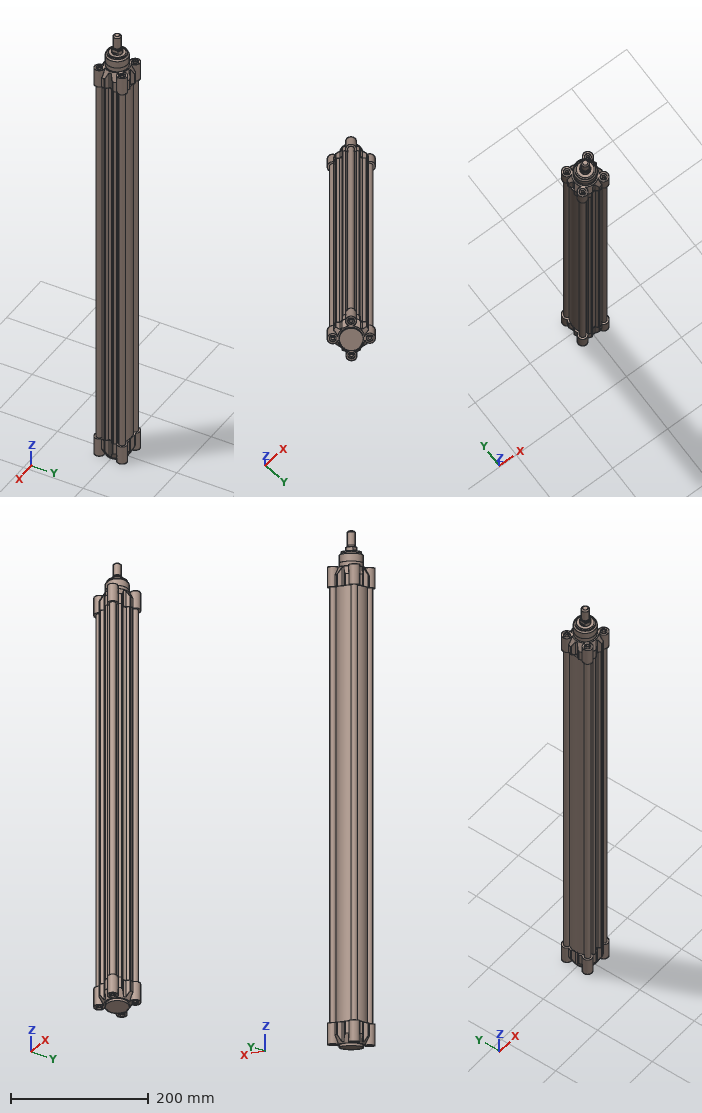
import cadquery as cq
import math

LENGTH = 763.0
TOP = LENGTH / 2
BOTTOM = -LENGTH / 2

CAP_WIDTH = 54.0
BOLT_OFFSET = 19.0
CAP_LOBE_RADIUS = CAP_WIDTH / 2 - BOLT_OFFSET
CAP_BARREL_RADIUS = 27.0
CAP_CONE_END_RADIUS = 20.0
CAP_CONE_HEIGHT = 13.0
FRONT_CAP_HEIGHT = 30.0
FRONT_CAP_BASE = 297.5
FRONT_CAP_FACE = FRONT_CAP_BASE + FRONT_CAP_HEIGHT
REAR_NOSE_HEIGHT = 4.0
REAR_CAP_FACE = BOTTOM + REAR_NOSE_HEIGHT
REAR_CAP_HEIGHT = 31.0
REAR_CAP_TOP = REAR_CAP_FACE + REAR_CAP_HEIGHT
NOSE_DIAMETER = 35.0
FRONT_BOSS_HEIGHT = 7.0

WEB_WIDTH = 4.5

BOLT_HEAD_DIAMETER = 10.0
BOLT_HEAD_DEPTH = 2.0
BOLT_HOLE_DIAMETER = 5.3
BOLT_HOLE_DEPTH = 11.5

LIP_HALF_WIDTH = 8.0
GROOVE_HALF_MOUTH = 6.0
CAP_LIP_RADIUS = 25.0
CAP_GROOVE_HALF_FLOOR = 1.9

TUBE_LOBE_RADIUS = 4.95
TUBE_SMOOTH_RADIUS = 24.0
TUBE_RAIL_RADIUS = 27.0
TUBE_RAIL_WIDTH = 24.5
TUBE_BORE_DIAMETER = 40.0
TUBE_LIP_RADIUS = 24.5
TUBE_GROOVE_HALF_FLOOR = 2.7

GLAND_BASE = FRONT_CAP_FACE + FRONT_BOSS_HEIGHT
GLAND_TOP = 350.0
GLAND_CHAMFER = 2.0
GLAND_LAND_HEIGHT = 2.0
WIPER_DIAMETER = 26.0
WIPER_HEIGHT = 4.5

ROD_DIAMETER = 16.0
ROD_TOP = 358.0
ROD_BOTTOM = -336.0
ROD_CHAMFER = 1.0
THREAD_DIAMETER = 12.0
THREAD_CHAMFER = 2.0
NECK_DIAMETER = 11.5
NECK_HEIGHT = 2.0
FLAT_WIDTH = 13.0
FLAT_HEIGHT = 5.0

BOLT_POINTS = [(sx * BOLT_OFFSET, sy * BOLT_OFFSET) for sx in (-1, 1) for sy in (-1, 1)]


def cylinder(diameter, base, height):
    return cq.Workplane("XY").workplane(offset=base).circle(diameter / 2).extrude(height)


def corner_lobes(radius, base, height):
    """Four round columns on the bolt axes, each joined to the centre by a web."""
    columns = cq.Workplane("XY").workplane(offset=base).pushPoints(BOLT_POINTS).circle(radius).extrude(height)
    web_length = 2 * math.hypot(BOLT_OFFSET, BOLT_OFFSET)
    web = cq.Workplane("XY").workplane(offset=base).rect(web_length, WEB_WIDTH).extrude(height)
    for angle in (45, 135):
        columns = columns.union(turned(web, angle))
    return columns


def side_groove(lip_radius, half_floor, base, height):
    """Cutter for one groove along the -Y side."""
    floor_y = -lip_radius + (GROOVE_HALF_MOUTH - half_floor)
    outside_y = -CAP_WIDTH
    return (
        cq.Workplane("XY")
        .workplane(offset=base)
        .polyline([
            (-LIP_HALF_WIDTH, outside_y),
            (-LIP_HALF_WIDTH, -lip_radius),
            (-GROOVE_HALF_MOUTH, -lip_radius),
            (-half_floor, floor_y),
            (half_floor, floor_y),
            (GROOVE_HALF_MOUTH, -lip_radius),
            (LIP_HALF_WIDTH, -lip_radius),
            (LIP_HALF_WIDTH, outside_y),
        ])
        .close()
        .extrude(height)
    )


def turned(body, angle):
    return body.rotate((0, 0, 0), (0, 0, 1), angle)


def make_cap(height):
    """Cap standing on z = 0 with its outer face, bolt recesses and cone at the top."""
    barrel = (
        cylinder(2 * CAP_BARREL_RADIUS, 0, height - CAP_CONE_HEIGHT)
        .faces(">Z")
        .workplane()
        .circle(CAP_BARREL_RADIUS)
        .workplane(offset=CAP_CONE_HEIGHT)
        .circle(CAP_CONE_END_RADIUS)
        .loft()
    )
    groove = side_groove(CAP_LIP_RADIUS, CAP_GROOVE_HALF_FLOOR, 0, height)
    for quarter in range(4):
        barrel = barrel.cut(turned(groove, 90 * quarter))
    cap = barrel.union(corner_lobes(CAP_LOBE_RADIUS, 0, height))
    return (
        cap.faces(">Z")
        .workplane(origin=(0, 0, height))
        .pushPoints(BOLT_POINTS)
        .cboreHole(BOLT_HOLE_DIAMETER, BOLT_HEAD_DIAMETER, BOLT_HEAD_DEPTH, BOLT_HOLE_DEPTH)
    )


def make_front_cap():
    cap = make_cap(FRONT_CAP_HEIGHT).translate((0, 0, FRONT_CAP_BASE))
    cap = cap.union(cylinder(NOSE_DIAMETER, FRONT_CAP_FACE, FRONT_BOSS_HEIGHT))
    return cap.cut(cylinder(ROD_DIAMETER, FRONT_CAP_BASE, FRONT_CAP_HEIGHT + FRONT_BOSS_HEIGHT))


def make_rear_cap():
    cap = make_cap(REAR_CAP_HEIGHT).rotate((0, 0, 0), (1, 0, 0), 180).translate((0, 0, REAR_CAP_TOP))
    return cap.union(cylinder(NOSE_DIAMETER, BOTTOM, REAR_NOSE_HEIGHT))


def make_tube():
    base = REAR_CAP_TOP
    height = FRONT_CAP_BASE - REAR_CAP_TOP
    tube = cylinder(2 * TUBE_SMOOTH_RADIUS, base, height)
    tube = tube.union(corner_lobes(TUBE_LOBE_RADIUS, base, height))
    rail = cylinder(2 * TUBE_RAIL_RADIUS, base, height).intersect(
        cq.Workplane("XY")
        .workplane(offset=base)
        .center(0, -TUBE_RAIL_RADIUS / 2)
        .rect(TUBE_RAIL_WIDTH, TUBE_RAIL_RADIUS)
        .extrude(height)
    )
    groove = side_groove(TUBE_LIP_RADIUS, TUBE_GROOVE_HALF_FLOOR, base, height)
    for angle in (0, 90):
        tube = tube.union(turned(rail, angle)).cut(turned(groove, angle))
    return tube.cut(cylinder(TUBE_BORE_DIAMETER, base, height))


def make_gland():
    height = GLAND_TOP - GLAND_BASE
    body_height = height - GLAND_LAND_HEIGHT
    gland = cylinder(NOSE_DIAMETER, GLAND_BASE, body_height).faces(">Z").chamfer(GLAND_CHAMFER)
    land_diameter = NOSE_DIAMETER - 2 * GLAND_CHAMFER
    gland = gland.union(
        cylinder(land_diameter, GLAND_BASE + body_height, GLAND_LAND_HEIGHT)
    )
    gland = gland.cut(cylinder(ROD_DIAMETER, GLAND_BASE, height))
    return gland.cut(cylinder(WIPER_DIAMETER, GLAND_TOP - WIPER_HEIGHT, WIPER_HEIGHT))


def make_wiper():
    ring = cylinder(WIPER_DIAMETER, GLAND_TOP - WIPER_HEIGHT, WIPER_HEIGHT)
    return ring.cut(cylinder(ROD_DIAMETER, GLAND_TOP - WIPER_HEIGHT, WIPER_HEIGHT))


def make_rod():
    rod = cylinder(ROD_DIAMETER, ROD_BOTTOM, ROD_TOP - ROD_BOTTOM).faces(">Z").chamfer(ROD_CHAMFER)
    for side in (-1, 1):
        flat = (
            cq.Workplane("XY")
            .workplane(offset=ROD_TOP - FLAT_HEIGHT)
            .center(side * (FLAT_WIDTH + ROD_DIAMETER) / 2, 0)
            .rect(ROD_DIAMETER, ROD_DIAMETER)
            .extrude(FLAT_HEIGHT)
        )
        rod = rod.cut(flat)
    neck = cylinder(NECK_DIAMETER, ROD_TOP, NECK_HEIGHT)
    thread_base = ROD_TOP + NECK_HEIGHT
    thread = cylinder(THREAD_DIAMETER, thread_base, TOP - thread_base).faces(">Z").chamfer(THREAD_CHAMFER)
    return rod.union(neck).union(thread)


tube = make_tube()
front_cap = make_front_cap()
rear_cap = make_rear_cap()
gland = make_gland()
wiper = make_wiper()
rod = make_rod()

result = cq.Compound.makeCompound([
    tube.solids().val(),
    front_cap.solids().val(),
    rear_cap.solids().val(),
    gland.solids().val(),
    wiper.solids().val(),
    rod.solids().val(),
])